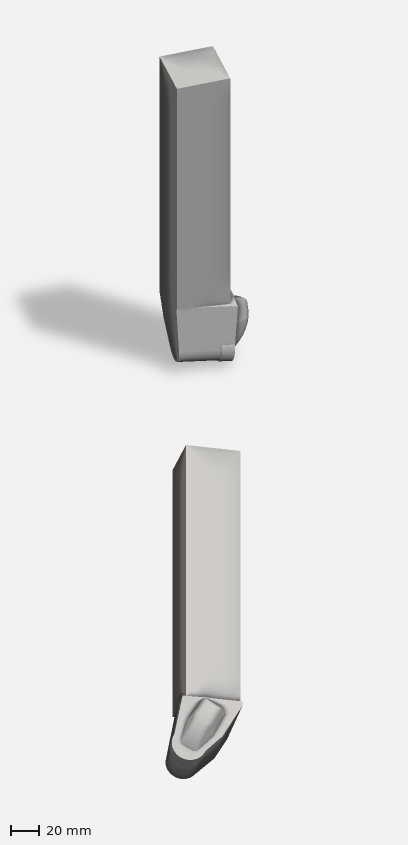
import cadquery as cq
import math


OVERSIZE = 100.0
TOLERANCE = 0.01

SHANK_SIDE = 40.0
TOTAL_HEIGHT = 251.34
TOTAL_WIDTH = 50.37

INSERT_DIAMETER = 25.4
INSERT_RADIUS = INSERT_DIAMETER / 2
INSERT_THICKNESS = 9.525
INSERT_LEAN = 6.0

SLOPE = math.tan(math.radians(INSERT_LEAN))
INSERT_AXIS = cq.Vector(SLOPE, 1, -SLOPE)
EDGE_REACH = INSERT_RADIUS * math.sqrt(1 - (SLOPE / INSERT_AXIS.Length) ** 2)
INSERT_CENTRE = (TOTAL_WIDTH - EDGE_REACH, SHANK_SIDE + SLOPE * EDGE_REACH, EDGE_REACH)

HEAD_DEPTH = 46.0
HEAD_NOSE_RADIUS = 11.85
HEAD_TOP = 36.8
HEAD_STEP_HEIGHT = INSERT_CENTRE[2] + HEAD_TOP
HEAD_STEP_DROP = 1.2
SIDE_WALL_ANGLE = 10.4
LOWER_CHAMFER_ANGLE = 45.0
UPPER_CHAMFER_ANGLE = 60.3
CHAMFER_MEETING_X = -23.7

CLAMP_FOOT = cq.Vector(21.0, HEAD_DEPTH, 41.6)
CLAMP_ANGLE = math.radians(60.0)
CLAMP_HEIGHT = 10.66
CLAMP_ROOT = 6.0
CLAMP_HALF_WIDTH = 10.3
CLAMP_FLAT_END = 9.0
CLAMP_NOSE_START = 19.0
CLAMP_TIP = 37.5
CLAMP_TOP_FILLET = 5.0
CLAMP_NOSE_FILLET = 4.0

UP = cq.Vector(0, 1, 0)
CLAMP_FORWARD = cq.Vector(math.cos(CLAMP_ANGLE), 0, -math.sin(CLAMP_ANGLE))
CLAMP_LEFT = UP.cross(CLAMP_FORWARD)

CLAMP_BODY_FACES = (
    (0.0, 0.0, 180.0, 15.0),
    (0.0, CLAMP_HALF_WIDTH, 90.0, 28.0),
    (0.0, -CLAMP_HALF_WIDTH, -90.0, 15.0),
)
CLAMP_NOSE_FACES = (
    (CLAMP_NOSE_START, CLAMP_HALF_WIDTH, 71.0, 30.0),
    (CLAMP_NOSE_START, -CLAMP_HALF_WIDTH, -71.0, 20.0),
)


def insert_top_plane():
    """Top face of the insert: local x runs to +X, local y to +Z, the normal into the insert."""
    return cq.Workplane(cq.Plane(INSERT_CENTRE, (1, -SLOPE, 0), INSERT_AXIS * -1))


def make_insert():
    return insert_top_plane().circle(INSERT_RADIUS).extrude(INSERT_THICKNESS)


def make_shank():
    """Square bar, ending on the sloping top of the head."""
    bar = cq.Workplane().box(SHANK_SIDE, SHANK_SIDE, TOTAL_HEIGHT, centered=False)
    above_head = (
        insert_top_plane()
        .center(0, HEAD_TOP + TOTAL_HEIGHT)
        .rect(2 * OVERSIZE, 2 * TOTAL_HEIGHT)
        .extrude(OVERSIZE, both=True)
    )
    return bar.intersect(above_head)


def on_head_nose(angle):
    """Point of the head's round nose at an angle from local x."""
    turn = math.radians(angle)
    return (HEAD_NOSE_RADIUS * math.cos(turn), HEAD_NOSE_RADIUS * math.sin(turn))


def make_head():
    wall_slope = math.tan(math.radians(SIDE_WALL_ANGLE))
    lower_slope = math.tan(math.radians(LOWER_CHAMFER_ANGLE))
    upper_slope = math.tan(math.radians(UPPER_CHAMFER_ANGLE))

    wall_foot = on_head_nose(SIDE_WALL_ANGLE)
    chamfer_foot = on_head_nose(LOWER_CHAMFER_ANGLE - 180)
    nose_middle = on_head_nose((SIDE_WALL_ANGLE + LOWER_CHAMFER_ANGLE - 180) / 2)
    wall_top_x = wall_foot[0] - (HEAD_TOP - wall_foot[1]) * wall_slope
    meeting_y = chamfer_foot[1] + (chamfer_foot[0] - CHAMFER_MEETING_X) * lower_slope
    upper_end_x = CHAMFER_MEETING_X - (HEAD_TOP - meeting_y) / upper_slope

    swept = (
        insert_top_plane()
        .moveTo(wall_top_x, HEAD_TOP)
        .lineTo(*wall_foot)
        .threePointArc(nose_middle, chamfer_foot)
        .lineTo(CHAMFER_MEETING_X, meeting_y)
        .lineTo(upper_end_x, HEAD_TOP)
        .close()
        .extrude(OVERSIZE)
    )
    envelope = (
        cq.Workplane("YZ")
        .lineTo(HEAD_DEPTH, 0)
        .lineTo(HEAD_DEPTH, HEAD_STEP_HEIGHT - HEAD_STEP_DROP)
        .lineTo(SHANK_SIDE, HEAD_STEP_HEIGHT)
        .lineTo(SHANK_SIDE, TOTAL_HEIGHT)
        .lineTo(0, TOTAL_HEIGHT)
        .close()
        .extrude(TOTAL_WIDTH)
    )
    return swept.intersect(envelope)


def outside_clamp_face(along, aside, heading, draft):
    """Block of everything outside one drafted side face of the clamp."""
    look = math.radians(heading)
    tilt = math.radians(draft)
    level = CLAMP_FORWARD * math.cos(look) + CLAMP_LEFT * math.sin(look)
    outward = level * math.cos(tilt) + UP * math.sin(tilt)
    point = CLAMP_FOOT + CLAMP_FORWARD * along + CLAMP_LEFT * aside
    face_plane = cq.Plane(point, level.cross(UP), outward)
    return cq.Workplane(face_plane).rect(OVERSIZE, OVERSIZE).extrude(OVERSIZE)


def make_clamp():
    clamp = (
        cq.Workplane(cq.Plane(CLAMP_FOOT, CLAMP_FORWARD, CLAMP_LEFT * -1))
        .moveTo(-CLAMP_ROOT, -CLAMP_ROOT)
        .lineTo(-CLAMP_ROOT, CLAMP_HEIGHT)
        .lineTo(CLAMP_FLAT_END, CLAMP_HEIGHT)
        .tangentArcPoint((CLAMP_TIP, -CLAMP_ROOT), relative=False)
        .close()
        .extrude(2 * CLAMP_HALF_WIDTH, both=True)
    )
    for face in CLAMP_BODY_FACES:
        clamp = clamp.cut(outside_clamp_face(*face))

    flat_end = CLAMP_FOOT + CLAMP_FORWARD * CLAMP_FLAT_END
    top_rim = [
        edge
        for edge in clamp.faces(">Y").edges().vals()
        if (edge.Center() - flat_end).dot(CLAMP_FORWARD) < -TOLERANCE
    ]
    clamp = clamp.newObject(top_rim).fillet(CLAMP_TOP_FILLET)

    for face in CLAMP_NOSE_FACES:
        clamp = clamp.cut(outside_clamp_face(*face))
    root_level = HEAD_DEPTH - CLAMP_ROOT
    nose_rim = [
        edge
        for edge in clamp.edges("%ELLIPSE").vals()
        if edge.BoundingBox().ymin < root_level + TOLERANCE
    ]
    return clamp.newObject(nose_rim).fillet(CLAMP_NOSE_FILLET)


insert = make_insert()
holder = make_shank().union(make_head()).union(make_clamp()).cut(insert)

result = cq.Compound.makeCompound([holder.val(), insert.val()])